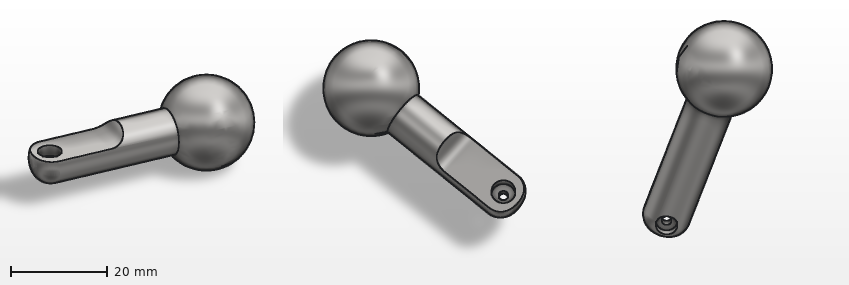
import cadquery as cq

length = 50.0
ball_radius = 10.0
rod_radius = 5.0
tip_fillet = 4.0

flat_height = 2.0
flat_length = 16.0
run_out_radius = 4.0

hole_from_tip = 4.0
hole_radius = 1.0
head_radius = 2.5
head_depth = 2.5
nut_radius = 2.25
nut_depth = 2.5

tip_y = ball_radius - length
hole_y = tip_y + hole_from_tip


def vertical_cylinder(radius, bottom, top):
    """Cylinder on the screw axis between two heights."""
    return (
        cq.Workplane("XY", origin=(0, hole_y, bottom))
        .circle(radius)
        .extrude(top - bottom)
    )


def make_rod():
    rod = cq.Workplane("XZ").circle(rod_radius).extrude(-tip_y)
    return rod.faces("<Y").edges().fillet(tip_fillet)


def make_flat_cut():
    """Block above the flat, with a round inner end tangent to the flat."""
    arc_centre_y = tip_y + flat_length
    arc_centre_z = flat_height + run_out_radius
    block = cq.Workplane("XY").box(
        2 * rod_radius, flat_length, run_out_radius, centered=(True, False, False)
    ).translate((0, tip_y, flat_height))
    run_out = (
        cq.Workplane("YZ")
        .center(arc_centre_y, arc_centre_z)
        .circle(run_out_radius)
        .extrude(rod_radius, both=True)
    )
    return block.union(run_out)


ball = cq.Workplane("XY").sphere(ball_radius)
through_hole = vertical_cylinder(hole_radius, -rod_radius, flat_height)
head_recess = vertical_cylinder(head_radius, flat_height - head_depth, flat_height)
nut_recess = vertical_cylinder(nut_radius, -rod_radius, -rod_radius + nut_depth)

result = (
    make_rod()
    .cut(make_flat_cut())
    .union(ball)
    .cut(through_hole)
    .cut(head_recess)
    .cut(nut_recess)
)